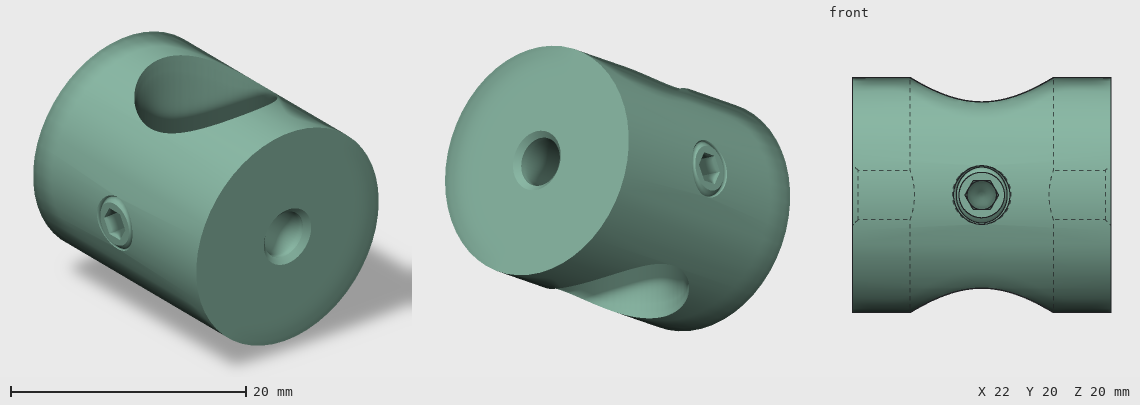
import cadquery as cq
import math

housing_length = 22.0
housing_diameter = 20.0
housing_radius = housing_diameter / 2

bore_diameter = 12.19
axial_hole_diameter = 4.2
axial_countersink_diameter = 5.2
axial_chamfer = (axial_countersink_diameter - axial_hole_diameter) / 2

screw_diameter = 5.0
screw_face_diameter = 3.87
screw_chamfer = (screw_diameter - screw_face_diameter) / 2
screw_tip_setback = 0.1
screw_length = housing_radius - bore_diameter / 2 - screw_tip_setback

countersink_half_width = 2.4
countersink_half_height = 2.82
countersink_depth = screw_chamfer
countersink_taper = 45.0

socket_across_flats = 2.49
socket_across_corners = socket_across_flats / math.cos(math.pi / 6)
socket_depth = 1.98
drill_point_angle = 120.0
drill_point_depth = socket_across_flats / 2 / math.tan(math.radians(drill_point_angle / 2))


def front_plane():
    """Plane at the front of the housing, with its normal pointing inward along +Y."""
    return cq.Plane(origin=(0, -housing_radius, 0), xDir=(1, 0, 0), normal=(0, 1, 0))


def make_screw_blank(length):
    """Chamfered cylinder running inward from the front plane."""
    face_radius = screw_face_diameter / 2
    radius = screw_diameter / 2
    half_profile = (
        cq.Workplane("XY", origin=(0, -housing_radius, 0))
        .lineTo(face_radius, 0)
        .lineTo(radius, screw_chamfer)
        .lineTo(radius, length)
        .lineTo(0, length)
        .close()
    )
    return half_profile.revolve(360, (0, 0, 0), (0, 1, 0))


def make_housing():
    body = cq.Workplane("YZ").circle(housing_radius).extrude(housing_length / 2, both=True)

    axial_hole = cq.Workplane("YZ").circle(axial_hole_diameter / 2).extrude(housing_length, both=True)
    body = body.cut(axial_hole)
    body = body.faces("<X or >X").edges(cq.selectors.RadiusNthSelector(0)).chamfer(axial_chamfer)

    cross_bore = cq.Workplane("XY").circle(bore_diameter / 2).extrude(housing_diameter, both=True)
    body = body.cut(cross_bore)

    body = body.cut(make_screw_blank(housing_radius))

    return body.cut(make_countersink())


def make_countersink():
    countersink = cq.Workplane(front_plane()).ellipse(countersink_half_width, countersink_half_height)
    return countersink.extrude(countersink_depth, taper=countersink_taper)


def make_socket():
    hexagon = cq.Workplane(front_plane()).polygon(6, socket_across_corners).extrude(socket_depth)
    drill_point = cq.Solid.makeCone(
        socket_across_flats / 2,
        0,
        drill_point_depth,
        pnt=cq.Vector(0, socket_depth - housing_radius, 0),
        dir=cq.Vector(0, 1, 0),
    )
    return hexagon.union(cq.Workplane(drill_point))


def make_set_screw():
    return make_screw_blank(screw_length).cut(make_socket())


housing = make_housing()
set_screw = make_set_screw()

result = cq.Compound.makeCompound([*housing.solids().vals(), *set_screw.solids().vals()])